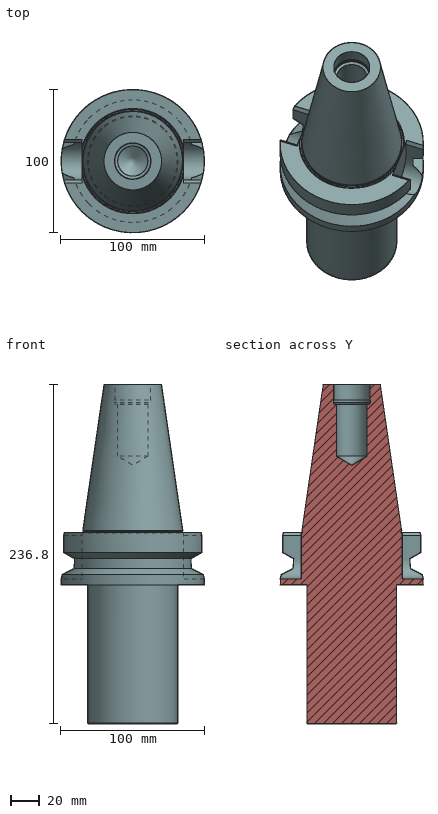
import cadquery as cq
import math

body_length = 135.0
taper_length = 101.8
overall_length = body_length + taper_length

shank_diameter = 63.0
shank_chamfer = 0.5

gauge_diameter = 69.85
taper_ratio = 7 / 24
taper_end_diameter = gauge_diameter - taper_length * taper_ratio

neck_diameter = 69.25
neck_height = 1.5
face_groove_diameter = 73.5
face_groove_depth = 0.5
face_groove_wall_run = 0.6
neck_chamfer_height = 0.7

flange_diameter = 100.0
flange_bottom = 97.0
flange_top = body_length - neck_height

groove_diameter = 85.5
groove_center_drop = 23.2
groove_center = body_length - groove_center_drop
groove_floor_width = 7.0
groove_flank_angle = 30.0
groove_depth = (flange_diameter - groove_diameter) / 2
groove_flank_height = groove_depth * math.tan(math.radians(groove_flank_angle))
groove_floor_top = groove_center + groove_floor_width / 2
groove_floor_bottom = groove_center - groove_floor_width / 2

slot_width = 26.0
slot_floor_distance = 35.4
slot_bottom = 101.1
slot_chamfer = 2.1

counterbore_diameter = 25.02
counterbore_depth = 13.5
counterbore_seat_height = 0.6
relief_diameter = 25.47
relief_top_depth = 11.0
relief_bottom_depth = 12.7
bore_diameter = 21.0
bore_depth = 50.0
bore_point_angle = 118.0


def make_body():
    """Revolved shank, flange with V groove, neck and taper."""
    shank_radius = shank_diameter / 2
    flange_radius = flange_diameter / 2
    groove_radius = groove_diameter / 2
    face_groove_radius = face_groove_diameter / 2
    neck_radius = neck_diameter / 2
    face_groove_floor = flange_top - face_groove_depth
    return (
        cq.Workplane("XZ")
        .lineTo(shank_radius - shank_chamfer, 0)
        .lineTo(shank_radius, shank_chamfer)
        .lineTo(shank_radius, flange_bottom)
        .lineTo(flange_radius, flange_bottom)
        .lineTo(flange_radius, groove_floor_bottom - groove_flank_height)
        .lineTo(groove_radius, groove_floor_bottom)
        .lineTo(groove_radius, groove_floor_top)
        .lineTo(flange_radius, groove_floor_top + groove_flank_height)
        .lineTo(flange_radius, flange_top)
        .lineTo(face_groove_radius, flange_top)
        .lineTo(face_groove_radius - face_groove_wall_run, face_groove_floor)
        .lineTo(neck_radius + face_groove_wall_run, face_groove_floor)
        .lineTo(neck_radius, flange_top)
        .lineTo(neck_radius, body_length - neck_chamfer_height)
        .lineTo(gauge_diameter / 2, body_length)
        .lineTo(taper_end_diameter / 2, overall_length)
        .lineTo(0, overall_length)
        .close()
        .revolve(360, (0, 0), (0, 1))
    )


def make_slot(side):
    """Slot with a chamfered mouth and a round bottom of two quarter arcs; side is -1 or +1 along X."""
    half_width = slot_width / 2
    mouth_half_width = half_width + slot_chamfer
    arc_center = slot_bottom + half_width
    arc_run = half_width * math.sin(math.radians(45))
    slot_length = flange_diameter / 2 - slot_floor_distance
    outline = (
        cq.Workplane("YZ", origin=(side * slot_floor_distance, 0, 0))
        .moveTo(-mouth_half_width, flange_top)
        .lineTo(-half_width, flange_top - slot_chamfer)
        .lineTo(-half_width, arc_center)
        .threePointArc((-arc_run, arc_center - arc_run), (0, slot_bottom))
        .threePointArc((arc_run, arc_center - arc_run), (half_width, arc_center))
        .lineTo(half_width, flange_top - slot_chamfer)
        .lineTo(mouth_half_width, flange_top)
        .close()
    )
    return outline.extrude(side * slot_length)


def make_bore():
    """Counterbored blind hole with a relief groove, a conical seat and a drill-point bottom."""
    bore_radius = bore_diameter / 2
    counterbore_radius = counterbore_diameter / 2
    relief_radius = relief_diameter / 2
    counterbore_floor = overall_length - counterbore_depth
    relief_top = overall_length - relief_top_depth
    relief_bottom = overall_length - relief_bottom_depth
    bore_floor = overall_length - bore_depth
    point_height = bore_radius / math.tan(math.radians(bore_point_angle / 2))
    profile = [
        (0, bore_floor - point_height),
        (bore_radius, bore_floor),
        (bore_radius, counterbore_floor - counterbore_seat_height),
        (counterbore_radius, counterbore_floor),
        (counterbore_radius, relief_bottom),
        (relief_radius, relief_bottom),
        (relief_radius, relief_top),
        (counterbore_radius, relief_top),
        (counterbore_radius, overall_length),
        (0, overall_length),
    ]
    return cq.Workplane("XZ").polyline(profile).close().revolve(360, (0, 0), (0, 1))


result = make_body().cut(make_bore())
for slot_side in (-1, 1):
    result = result.cut(make_slot(slot_side))